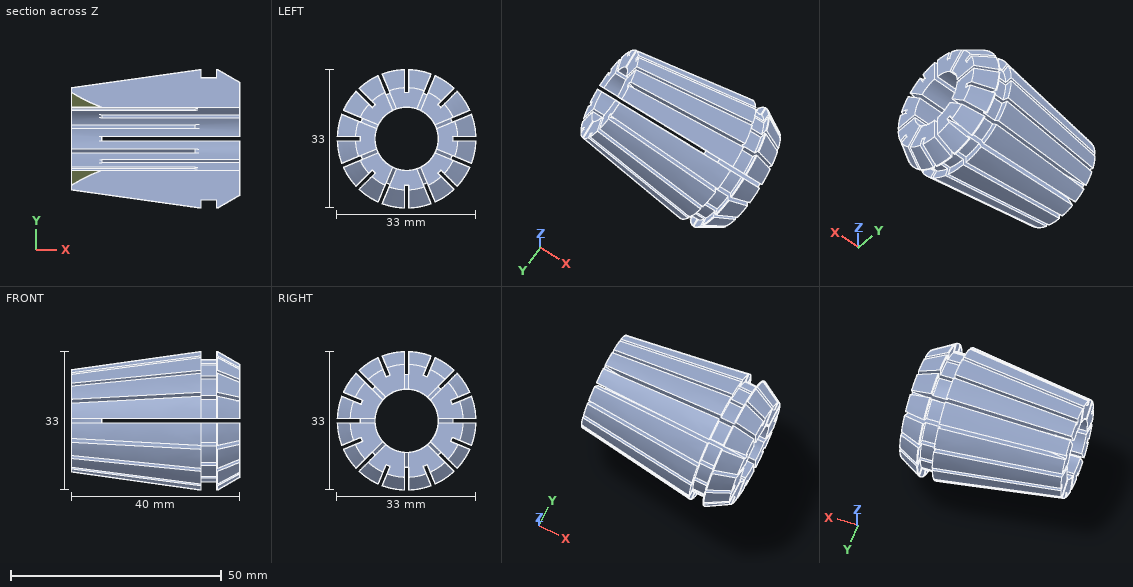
import cadquery as cq
import math

LENGTH = 40.0
HEAD_RADIUS = 16.5
BORE_RADIUS = 7.5

TAPER_LENGTH = 30.8
TAPER_ANGLE = 8.0
NOSE_RADIUS = HEAD_RADIUS - TAPER_LENGTH * math.tan(math.radians(TAPER_ANGLE))

GROOVE_END = 34.45
GROOVE_RADIUS = 14.55
RIM_WIDTH = 0.25
CLAMP_ANGLE = 30.0
CLAMP_START = GROOVE_END + RIM_WIDTH
BACK_RADIUS = HEAD_RADIUS - (LENGTH - CLAMP_START) * math.tan(math.radians(CLAMP_ANGLE))

SLOT_COUNT = 8
SLOT_PITCH = 360.0 / SLOT_COUNT
SLOT_WIDTH = 1.0

SAW_RADIUS = 42.4

BACK_SLOT_BORE_X = 7.2
NOSE_NOTCH_RADIUS = 11.05

FRONT_SLOT_SAW_X = 19.7
BACK_NOTCH_RADIUS = 11.55
FRONT_SLOT_SAW_HEIGHT = BACK_NOTCH_RADIUS + math.sqrt(SAW_RADIUS**2 - (LENGTH - FRONT_SLOT_SAW_X) ** 2)
FRONT_SLOT_SAW_DROP = FRONT_SLOT_SAW_HEIGHT - BORE_RADIUS
FRONT_SLOT_BORE_X = FRONT_SLOT_SAW_X + math.sqrt(SAW_RADIUS**2 - FRONT_SLOT_SAW_DROP**2)

OVERCUT = 1.0


def collet_body():
    """Revolve the bored double-taper profile about X."""
    profile = [
        (0, BORE_RADIUS),
        (0, NOSE_RADIUS),
        (TAPER_LENGTH, HEAD_RADIUS),
        (TAPER_LENGTH, GROOVE_RADIUS),
        (GROOVE_END, GROOVE_RADIUS),
        (GROOVE_END, HEAD_RADIUS),
        (CLAMP_START, HEAD_RADIUS),
        (LENGTH, BACK_RADIUS),
        (LENGTH, BORE_RADIUS),
    ]
    return cq.Workplane("XY").polyline(profile).close().revolve(360, (0, 0, 0), (1, 0, 0))


def slot_cutter(open_x, bore_x, notch_x, notch_radius):
    """Thin blade centred on the XZ plane, with height as the distance from the axis.

    It cuts the full wall from open_x to bore_x, then follows the saw arc
    up from the bore to notch_radius at the end face notch_x.
    """
    top = HEAD_RADIUS + OVERCUT
    bulge = SAW_RADIUS if notch_x < bore_x else -SAW_RADIUS
    outline = (
        cq.Workplane("XZ")
        .moveTo(open_x, 0)
        .lineTo(bore_x, 0)
        .lineTo(bore_x, BORE_RADIUS)
        .radiusArc((notch_x, notch_radius), bulge)
        .lineTo(notch_x, top)
        .lineTo(open_x, top)
        .close()
    )
    return outline.extrude(SLOT_WIDTH / 2, both=True)


def cut_slots(body, cutter, first_angle):
    """Cut one evenly spaced set of slots around the X axis."""
    for index in range(SLOT_COUNT):
        angle = first_angle + index * SLOT_PITCH
        body = body.cut(cutter.rotate((0, 0, 0), (1, 0, 0), angle))
    return body


back_slot = slot_cutter(LENGTH, BACK_SLOT_BORE_X, 0, NOSE_NOTCH_RADIUS)
front_slot = slot_cutter(0, FRONT_SLOT_BORE_X, LENGTH, BACK_NOTCH_RADIUS)

result = collet_body()
result = cut_slots(result, back_slot, 0)
result = cut_slots(result, front_slot, SLOT_PITCH / 2)